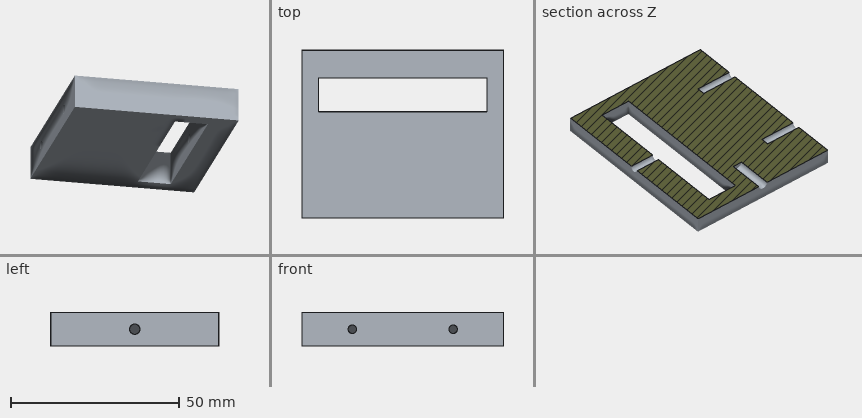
import cadquery as cq

length = 60.0
width = 50.0
thickness = 10.0

window_length = 50.0
window_width = 10.0
back_wall = 8.3
window_back_y = width / 2 - back_wall
window_center_y = window_back_y - window_width / 2

front_hole_diameter = 2.5
front_hole_spacing = 30.0
front_hole_depth = 12.0
back_hole_diameter = 2.5
side_hole_diameter = 3.05
side_hole_depth = 12.0


def hole_cutter(diameter, depth, start, direction):
    """Cylinder that runs from the start point along the given direction."""
    return cq.Workplane(
        cq.Solid.makeCylinder(diameter / 2, depth, cq.Vector(*start), cq.Vector(*direction))
    )


plate = cq.Workplane("XY").box(length, width, thickness)
window = cq.Workplane("XY").center(0, window_center_y).rect(window_length, window_width)
result = plate.cut(window.extrude(thickness, both=True))

for x in (-front_hole_spacing / 2, front_hole_spacing / 2):
    front_hole = hole_cutter(front_hole_diameter, front_hole_depth, (x, -width / 2, 0), (0, 1, 0))
    result = result.cut(front_hole)

back_hole = hole_cutter(back_hole_diameter, back_wall, (0, window_back_y, 0), (0, 1, 0))
result = result.cut(back_hole)

side_hole = hole_cutter(side_hole_diameter, side_hole_depth, (-length / 2, 0, 0), (1, 0, 0))
result = result.cut(side_hole)